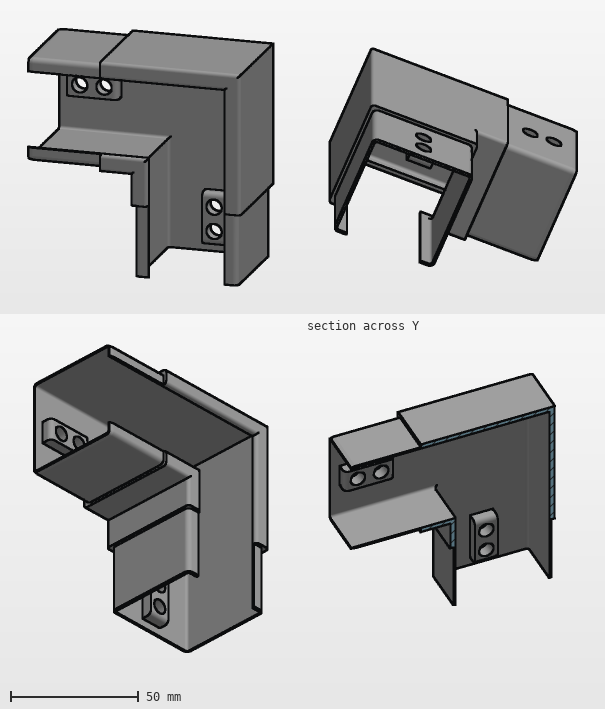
import cadquery as cq

horizontal_length = 87.5
vertical_length = 87.2
sleeve_length = 57.6
sleeve_size = 45.0
sleeve_wall = 1.4
sleeve_radius = sleeve_wall
tube_wall = 1.0
tube_radius = 2.1
slot_width = 31.15

tube_size = sleeve_size - 2 * sleeve_wall
bore_size = tube_size - 2 * tube_wall
bore_radius = tube_radius - tube_wall
leg_axis = -sleeve_size / 2
back_wall = bore_size / 2

lead_in_length = 1.9
lead_in_depth = 0.35
bevel_height = 0.3
bevel_depth = 0.9

pad_length = 21.4
pad_width = 9.8
pad_height = 4.7
pad_radius = 2.0
pad_middle = 72.6
hole_diameter = 6.2
hole_spacing = 10.0


def square_bar(size, radius, length):
    """Rounded square bar along -X, ending at the outer corner plane."""
    return (
        cq.Workplane("YZ", origin=(-length, 0, leg_axis))
        .rect(size, size)
        .extrude(length)
        .edges("|X")
        .fillet(radius)
    )


def front_slot():
    """Block that opens the front wall; its sleeve edges are rounded over."""
    front = -sleeve_size / 2
    half_slot = slot_width / 2
    half_mouth = half_slot + sleeve_radius
    return (
        cq.Workplane("YZ", origin=(-horizontal_length, 0, leg_axis))
        .moveTo(0, -half_slot)
        .lineTo(front + sleeve_radius, -half_slot)
        .radiusArc((front, -half_mouth), -sleeve_radius)
        .lineTo(front, half_mouth)
        .radiusArc((front + sleeve_radius, half_slot), -sleeve_radius)
        .lineTo(0, half_slot)
        .close()
        .extrude(horizontal_length)
    )


def mitre_half():
    """Triangular prism that keeps the horizontal side of the mitre plane."""
    return (
        cq.Workplane("XZ")
        .polyline([(0, 0), (-horizontal_length, 0), (-horizontal_length, -horizontal_length)])
        .close()
        .extrude(sleeve_size, both=True)
    )


def pad():
    """Fixing pad on the back wall with rounded ends."""
    rooted_height = pad_height + tube_wall / 2
    return (
        cq.Workplane("XY")
        .box(pad_length, rooted_height, pad_width, centered=(True, False, True))
        .edges("|Z and <Y")
        .fillet(pad_radius)
        .translate((-pad_middle, back_wall - pad_height, leg_axis))
    )


def pad_holes():
    """Two screw holes through the pad and the back wall."""
    return (
        cq.Workplane("XZ", origin=(-pad_middle, 0, leg_axis))
        .rarray(hole_spacing, 0.9, 2, 1)
        .circle(hole_diameter / 2)
        .extrude(-sleeve_size)
    )


def end_taper(leg_length, taper_length, taper_depth):
    """Cutter that tapers the -X tube down to its end at the given leg length."""
    tip_size = tube_size - 2 * taper_depth
    tip_outline = cq.Sketch().rect(tip_size, tip_size).vertices().fillet(tube_radius - taper_depth)
    tube_outline = cq.Sketch().rect(tube_size, tube_size).vertices().fillet(tube_radius)
    taper_start = cq.Location(cq.Vector(0, 0, taper_length))
    tip = (
        cq.Workplane("YZ", origin=(-leg_length, 0, leg_axis))
        .placeSketch(tip_outline, tube_outline.moved(taper_start))
        .loft()
    )
    block = (
        cq.Workplane("YZ", origin=(taper_length - leg_length, 0, leg_axis))
        .rect(sleeve_size, sleeve_size)
        .extrude(-sleeve_size)
    )
    return block.cut(tip)


def swap_legs(shape):
    """Mirror in the mitre plane, turning the -X leg into the -Z leg."""
    return shape.mirror(cq.Vector(1, 0, -1))


leg = square_bar(sleeve_size, sleeve_radius, sleeve_length)
leg = leg.union(square_bar(tube_size, tube_radius, horizontal_length))
leg = leg.cut(square_bar(bore_size, bore_radius, horizontal_length))
leg = leg.cut(front_slot())
leg = leg.union(pad()).cut(pad_holes())
leg = leg.intersect(mitre_half())

horizontal_leg = leg.cut(end_taper(horizontal_length, lead_in_length, lead_in_depth))
vertical_leg = swap_legs(leg.cut(end_taper(vertical_length, bevel_height, bevel_depth)))
result = horizontal_leg.union(vertical_leg)